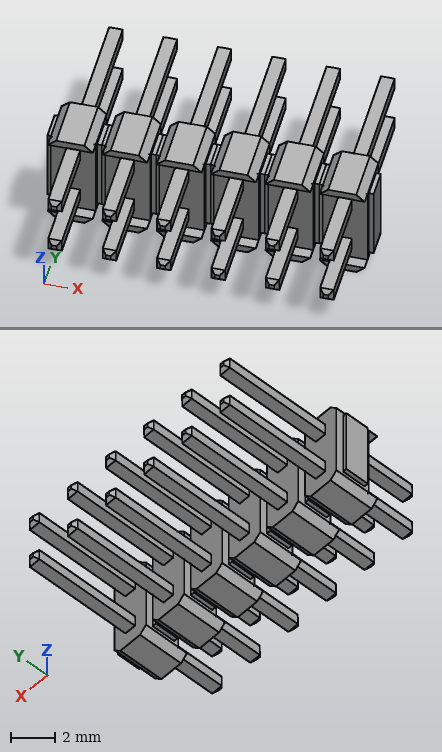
import cadquery as cq

SEGMENT_COUNT = 6
ROW_LENGTH = 15.24
PITCH = ROW_LENGTH / SEGMENT_COUNT

BLOCK_WIDTH = 2.1
BLOCK_DEPTH = 2.0
OVERALL_HEIGHT = 5.0
CAP_HEIGHT = 0.37
CAP_BEVEL = 0.4
CAP_OVERHANG = 0.53

WEB_HEIGHT = 3.83
WEB_DEPTH = 1.33
WEB_BACK_SETBACK = 0.41

PIN_SIZE = 0.64
PIN_TOTAL_LENGTH = 11.65
PIN_BACK_LENGTH = 6.1
PIN_TIP_CHAMFER = 0.2

BLOCK_HEIGHT = OVERALL_HEIGHT - 2 * CAP_HEIGHT
CAP_DEPTH = BLOCK_DEPTH + CAP_OVERHANG
PIN_BACK_Y = BLOCK_DEPTH + PIN_BACK_LENGTH
PIN_CENTER_Y = PIN_BACK_Y - PIN_TOTAL_LENGTH / 2
WEB_CENTER_Y = BLOCK_DEPTH - WEB_BACK_SETBACK - WEB_DEPTH / 2


def make_block():
    """Plain insulator block between the two caps."""
    return cq.Workplane("XY").box(BLOCK_WIDTH, BLOCK_DEPTH, BLOCK_HEIGHT).translate((0, BLOCK_DEPTH / 2, 0))


def make_cap(side):
    """Bevelled cap on the upper (side = 1) or lower (side = -1) face, overhanging the front."""
    base_x = BLOCK_WIDTH / 2
    outer_x = base_x - CAP_BEVEL
    base_z = side * BLOCK_HEIGHT / 2
    outer_z = side * OVERALL_HEIGHT / 2
    return (
        cq.Workplane("XZ", origin=(0, BLOCK_DEPTH, 0))
        .polyline([(-base_x, base_z), (base_x, base_z), (outer_x, outer_z), (-outer_x, outer_z)])
        .close()
        .extrude(CAP_DEPTH)
    )


def make_web():
    """Web spanning one full pitch, so that it meets the webs of the neighbouring segments."""
    return cq.Workplane("XY").box(PITCH, WEB_DEPTH, WEB_HEIGHT).translate((0, WEB_CENTER_Y, 0))


def make_pin(side):
    """Square pin with both ends chamfered, in the upper (side = 1) or lower (side = -1) row."""
    return (
        cq.Workplane("XY")
        .box(PIN_SIZE, PIN_TOTAL_LENGTH, PIN_SIZE)
        .faces("<Y or >Y")
        .chamfer(PIN_TIP_CHAMFER)
        .translate((0, PIN_CENTER_Y, side * PITCH / 2))
    )


def make_segment(center_x):
    """One header segment: block, web, two caps and two pins as a single solid."""
    segment = make_block().union(make_web())
    for side in (-1, 1):
        segment = segment.union(make_cap(side)).union(make_pin(side))
    return segment.translate((center_x, 0, 0))


segments = []
for index in range(SEGMENT_COUNT):
    segment_x = (index - (SEGMENT_COUNT - 1) / 2) * PITCH
    segments.append(make_segment(segment_x).val())

result = cq.Compound.makeCompound(segments)